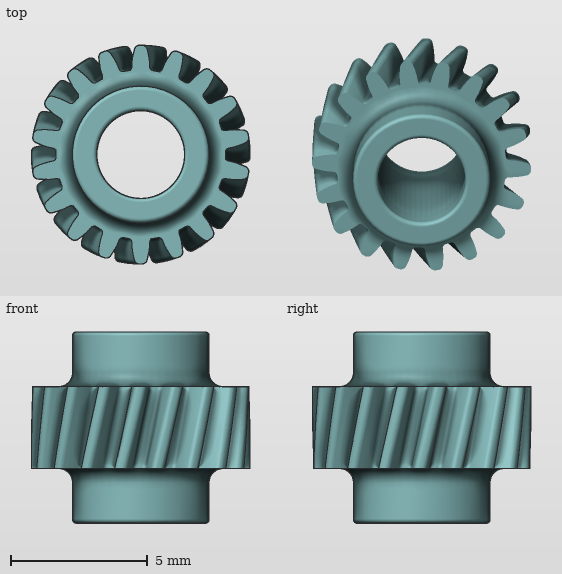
import cadquery as cq
import math

TOTAL_LENGTH = 7.0
HUB_DIAMETER = 5.0
BORE_DIAMETER = 3.2
GEAR_WIDTH = 3.0
EDGE_ROUND = 0.15
HUB_FILLET = 0.5

TOOTH_COUNT = 18
MODULE = 0.4
ADDENDUM = MODULE
DEDENDUM = 1.25 * MODULE
HELIX_ANGLE = math.radians(12.6)
TIP_ROUND = 0.2
ROOT_ROUND = 0.14

HALF_THICKNESS_ROOT = 0.325
HALF_THICKNESS_PITCH = 0.293
HALF_THICKNESS_TIP = 0.19

PITCH_RADIUS = MODULE * TOOTH_COUNT / 2
TIP_RADIUS = PITCH_RADIUS + ADDENDUM
ROOT_RADIUS = PITCH_RADIUS - DEDENDUM
TOOTH_PITCH = 2 * math.pi / TOOTH_COUNT
TWIST = GEAR_WIDTH * math.tan(HELIX_ANGLE) / PITCH_RADIUS
UPPER_TOOTH_DIRECTION = math.pi / 2
HUB_RADIUS = HUB_DIAMETER / 2
HALF_LENGTH = TOTAL_LENGTH / 2
HALF_GEAR = GEAR_WIDTH / 2
RADIUS_TOLERANCE = 1e-3


def polar(radius, angle):
    return (radius * math.cos(angle), radius * math.sin(angle))


def flank(centre, side):
    """Root, pitch and tip points of one flank; side is -1 (clockwise) or +1."""
    root = polar(ROOT_RADIUS, centre + side * math.asin(HALF_THICKNESS_ROOT / ROOT_RADIUS))
    pitch = polar(PITCH_RADIUS, centre + side * math.asin(HALF_THICKNESS_PITCH / PITCH_RADIUS))
    tip = polar(TIP_RADIUS, centre + side * math.asin(HALF_THICKNESS_TIP / TIP_RADIUS))
    return root, pitch, tip


def gear_section():
    """Tooth outline on the lower gear face, with sharp tips and roots."""
    first_centre = UPPER_TOOTH_DIRECTION - TWIST
    first_root, _, _ = flank(first_centre, -1)
    outline = cq.Workplane("XY", origin=(0, 0, -HALF_GEAR)).moveTo(*first_root)
    for i in range(TOOTH_COUNT):
        centre = first_centre + i * TOOTH_PITCH
        _, rising_pitch, rising_tip = flank(centre, -1)
        falling_root, falling_pitch, falling_tip = flank(centre, 1)
        next_root, _, _ = flank(centre + TOOTH_PITCH, -1)
        outline = outline.threePointArc(rising_pitch, rising_tip)
        outline = outline.threePointArc(polar(TIP_RADIUS, centre), falling_tip)
        outline = outline.threePointArc(falling_pitch, falling_root)
        outline = outline.threePointArc(polar(ROOT_RADIUS, centre + TOOTH_PITCH / 2), next_root)
    return outline.close()


def round_upright_edges(body, radius, rounding):
    """Fillet the upright edges that lie at the given radius from the Z axis."""
    def at_radius(edge):
        point = edge.Center()
        return abs(math.hypot(point.x, point.y) - radius) < RADIUS_TOLERANCE

    return body.edges("|Z").filter(at_radius).fillet(rounding)


def helical_gear():
    straight = gear_section().extrude(GEAR_WIDTH)
    straight = round_upright_edges(straight, TIP_RADIUS, TIP_ROUND)
    straight = round_upright_edges(straight, ROOT_RADIUS, ROOT_ROUND)
    section = straight.faces("<Z").wires().val()
    lower_face = cq.Workplane("XY", origin=(0, 0, -HALF_GEAR))
    return lower_face.add(section).toPending().twistExtrude(GEAR_WIDTH, math.degrees(TWIST))


def hub():
    """Solid hub with rounded outer rims, running the full length."""
    body = cq.Workplane("XY", origin=(0, 0, -HALF_LENGTH)).circle(HUB_RADIUS).extrude(TOTAL_LENGTH)
    return body.faces("<Z or >Z").edges().fillet(EDGE_ROUND)


def blend_collar():
    """Turned body whose concave ends run from the gear faces to the hub."""
    blend_end = HALF_GEAR + HUB_FILLET
    blend_radius = HUB_RADIUS + HUB_FILLET
    arc_inset = HUB_FILLET * (1 - math.sqrt(0.5))
    arc_middle_radius = HUB_RADIUS + arc_inset
    arc_middle_height = HALF_GEAR + arc_inset
    profile = (
        cq.Workplane("XZ")
        .moveTo(0, -blend_end)
        .lineTo(HUB_RADIUS, -blend_end)
        .threePointArc((arc_middle_radius, -arc_middle_height), (blend_radius, -HALF_GEAR))
        .lineTo(blend_radius, HALF_GEAR)
        .threePointArc((arc_middle_radius, arc_middle_height), (HUB_RADIUS, blend_end))
        .lineTo(0, blend_end)
        .close()
    )
    return profile.revolve(360, (0, 0), (0, 1))


def cut_bore(body):
    """Through bore with a rounded rim at each end."""
    bored = body.faces(">Z").workplane(origin=(0, 0, 0)).hole(BORE_DIAMETER)
    bore_rims = bored.faces("<Z or >Z").edges(cq.selectors.RadiusNthSelector(0))
    return bore_rims.fillet(EDGE_ROUND)


result = cut_bore(helical_gear().union(blend_collar()).union(hub()))